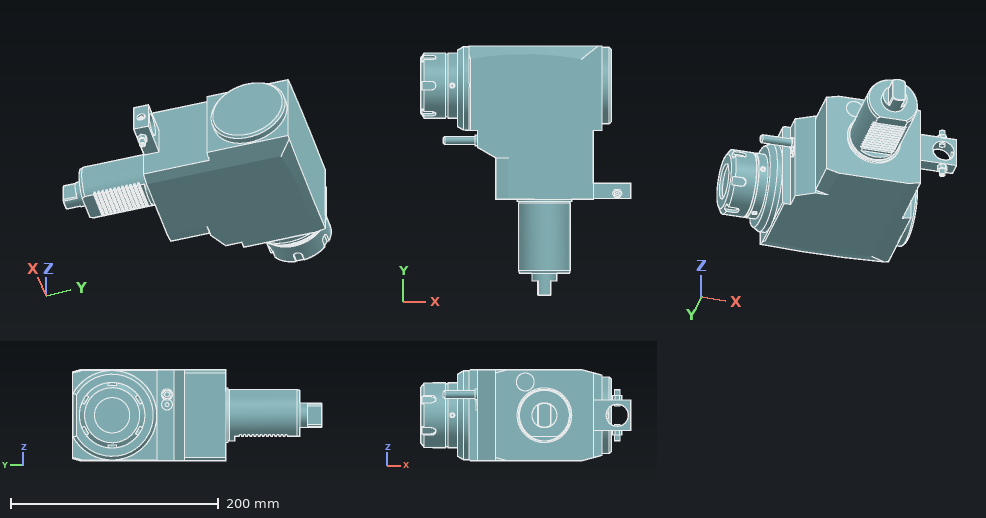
import cadquery as cq
import math


HALF_HEIGHT = 44.0
BODY_BACK = 147.5
UPPER_LEFT = -72.5
UPPER_RIGHT = 55.5
UPPER_BOTTOM = 66.0
MIDDLE_LEFT = -64.5
LOWER_LEFT = -47.0
LOWER_RIGHT = 47.0
SLOPE_TOP = 50.0
SLOPE_ANGLE = 30.0
BEVEL_ANGLE = 15.0
RIGHT_BEVEL_START = 35.5
LEFT_BEVEL_WIDTH = 12.3
BACK_BEVEL_WIDTH = 8.0
BACK_CREST_X = -18.0
BACK_CROWN_RADIUS = 1131.0
EDGE_BEVEL_X = 1.5
EDGE_BEVEL_Z = 1.2
PLUG_X = -18.4
PLUG_Z = 32.0
PLUG_RADIUS = 8.6
PLUG_RECESS = 0.2

SPINDLE_Y = 109.4
OVERLAP = 2.0
FLANGE_FACE = -83.8
FLANGE_RADIUS = 43.0
FLANGE_CHAMFER_X = 6.1
FLANGE_CHAMFER_R = 3.5
FLANGE_FLAT = BODY_BACK - 0.5
NOSE_FACE = -119.0
NUT_RADIUS = 31.5
NUT_END = -95.0
NUT_CHAMFER_X = 3.3
NUT_CHAMFER_R = 5.0
NUT_GROOVE_WIDTH = 2.3
NUT_GROOVE_DEPTH = 1.0
BORE_RADIUS = 17.0
BORE_DEPTH = 3.0
NUT_SLOT_COUNT = 6
NUT_SLOT_WIDTH = 8.3
NUT_SLOT_LENGTH = 14.5
NUT_SLOT_FLOOR = 28.4
COLLAR_HOLE_COUNT = 4
COLLAR_HOLE_X = -88.6
COLLAR_HOLE_RADIUS = 2.4
COLLAR_HOLE_DEPTH = 1.0
COLLAR_CORE_RADIUS = 1.5
COLLAR_CORE_DEPTH = 4.0
CAP_FACE = 64.5
CAP_RADIUS = 37.0
CAP_CHAMFER = 2.2

PIPE_Y = 56.6
PIPE_Z = 20.0
PIPE_END = -97.3
PIPE_RADIUS = 4.0
PIPE_CHAMFER = 1.6
PIPE_SEAT_RADIUS = 5.3
PIPE_SEAT_LENGTH = 2.2
SCREW_Z = 10.3
SCREW_HEAD_RADIUS = 5.2
SCREW_HEAD_HEIGHT = 1.3
SCREW_SOCKET_RADIUS = 1.8
SCREW_SOCKET_DEPTH = 1.0

SHANK_RADIUS = 25.0
SHANK_LENGTH = 71.3
SHANK_CHAMFER_Y = 3.0
SHANK_CHAMFER_R = 1.0
SHANK_COLLAR_RADIUS = 26.3
SHANK_COLLAR_LENGTH = 2.2
SHANK_GROOVE_END = -3.6
SHANK_GROOVE_DEPTH = 0.4
SHANK_FLAT_Z = -20.2
SHANK_FLAT_START = -8.7
RACK_GROOVES = 12
RACK_PITCH = 4.0
RACK_FIRST_Y = -14.0
RACK_DEPTH = 1.5
RACK_MOUTH = 2.5
RACK_ROOT = 1.0
TANG_RADIUS = 12.0
TANG_END = -92.5
TANG_SHOULDER = -78.6
TANG_THICKNESS = 13.0
TANG_CHAMFER = 0.6
TANG_EDGE_CHAMFER = 1.0

BRACKET_END = 83.1
BRACKET_HALF_HEIGHT = 14.8
BRACKET_FRONT = 0.7
BRACKET_BACK = 15.7
EYE_X = 70.0
EYE_RADIUS = 10.6
CROSS_HOLE_RADIUS = 4.0
BRACKET_SCREW_RADIUS = 2.9
BRACKET_SCREW_PROTRUSION = 1.8
STUD_Y = 5.7
STUD_RADIUS = 2.8
STUD_INNER = 8.7
STUD_OUTER = 24.7
STUD_SOCKET_FLATS = 2.5
STUD_SOCKET_DEPTH = 2.5
STUD_NUT_FLATS = 8.0
STUD_NUT_HEIGHT = 4.2
HEX_CORNERS_PER_FLATS = 1 / math.cos(math.pi / 6)


def x_cylinder(x_start, x_end, radius, y, z):
    plane = cq.Plane(origin=(x_start, y, z), xDir=(0, 1, 0), normal=(1, 0, 0))
    return cq.Workplane(plane).circle(radius).extrude(x_end - x_start)


def y_cylinder(y_start, y_end, radius, x=0.0, z=0.0):
    plane = cq.Plane(origin=(x, y_start, z), xDir=(1, 0, 0), normal=(0, 1, 0))
    return cq.Workplane(plane).circle(radius).extrude(y_end - y_start)


def box(x_range, y_range, z_range):
    size = [end - start for start, end in (x_range, y_range, z_range)]
    corner = (x_range[0], y_range[0], z_range[0])
    return cq.Workplane("XY").box(*size, centered=False).translate(corner)


def spindle_turned(profile):
    """Revolve (x, radius) points about the spindle axis."""
    return (
        cq.Workplane("XY", origin=(0, SPINDLE_Y, 0))
        .polyline(profile)
        .close()
        .revolve(360, (0, 0, 0), (1, 0, 0))
    )


def shank_turned(profile):
    """Revolve (radius, y) points about the shank axis."""
    return cq.Workplane("XY").polyline(profile).close().revolve(360, (0, 0, 0), (0, 1, 0))


def both_sides(upper):
    return upper.union(upper.mirror("XY"))


def xz_prism(points, y_start, y_end):
    return cq.Workplane("XZ", origin=(0, y_start, 0)).polyline(points).close().extrude(y_start - y_end)


def make_housing():
    slope_bottom = SLOPE_TOP - (LOWER_LEFT - MIDDLE_LEFT) * math.tan(math.radians(SLOPE_ANGLE))
    outline = [
        (LOWER_LEFT, 0),
        (LOWER_RIGHT, 0),
        (LOWER_RIGHT, UPPER_BOTTOM),
        (UPPER_RIGHT, UPPER_BOTTOM),
        (UPPER_RIGHT, BODY_BACK),
        (UPPER_LEFT, BODY_BACK),
        (UPPER_LEFT, UPPER_BOTTOM),
        (MIDDLE_LEFT, UPPER_BOTTOM),
        (MIDDLE_LEFT, SLOPE_TOP),
        (LOWER_LEFT, slope_bottom),
    ]
    housing = (
        cq.Workplane("XY", origin=(0, 0, -HALF_HEIGHT))
        .polyline(outline)
        .close()
        .extrude(2 * HALF_HEIGHT)
    )

    bevel_slope = math.tan(math.radians(BEVEL_ANGLE))
    right_drop = (UPPER_RIGHT - RIGHT_BEVEL_START) * bevel_slope
    right_bevel = xz_prism(
        [
            (RIGHT_BEVEL_START, HALF_HEIGHT),
            (UPPER_RIGHT, HALF_HEIGHT),
            (UPPER_RIGHT, HALF_HEIGHT - right_drop),
        ],
        0,
        BODY_BACK,
    )
    left_bevel = xz_prism(
        [
            (LOWER_LEFT, HALF_HEIGHT),
            (LOWER_LEFT + LEFT_BEVEL_WIDTH, HALF_HEIGHT),
            (LOWER_LEFT, HALF_HEIGHT - LEFT_BEVEL_WIDTH * bevel_slope),
        ],
        0,
        slope_bottom,
    )
    edge_bevel = xz_prism(
        [
            (UPPER_LEFT, HALF_HEIGHT),
            (UPPER_LEFT + EDGE_BEVEL_X, HALF_HEIGHT),
            (UPPER_LEFT, HALF_HEIGHT - EDGE_BEVEL_Z),
        ],
        UPPER_BOTTOM,
        BODY_BACK,
    )
    for bevel in (right_bevel, left_bevel, edge_bevel):
        housing = housing.cut(both_sides(bevel))
    housing = housing.intersect(both_sides(make_back_crown()))

    plug_recess = y_cylinder(0, PLUG_RECESS, PLUG_RADIUS, PLUG_X, PLUG_Z)
    return housing.cut(plug_recess)


def make_back_crown():
    """Upper half of a large cylinder whose crest dips toward the back at the bevel angle."""
    tilt = math.radians(BEVEL_ANGLE)
    crest = cq.Vector(BACK_CREST_X, BODY_BACK - BACK_BEVEL_WIDTH, HALF_HEIGHT)
    along = cq.Vector(0, math.cos(tilt), -math.sin(tilt))
    outward = cq.Vector(0, math.sin(tilt), math.cos(tilt))
    reach = 2 * BODY_BACK
    centre = crest - outward * BACK_CROWN_RADIUS - along * reach
    plane = cq.Plane(origin=centre.toTuple(), xDir=(1, 0, 0), normal=along.toTuple())
    crown = cq.Workplane(plane).circle(BACK_CROWN_RADIUS).extrude(2 * reach)
    upper_space = box((-reach, reach), (-reach, reach), (0, reach))
    return crown.intersect(upper_space)


def make_spindle_flange():
    back = UPPER_LEFT + OVERLAP
    shoulder = FLANGE_FACE + FLANGE_CHAMFER_X
    flange = spindle_turned(
        [
            (FLANGE_FACE, 0),
            (FLANGE_FACE, FLANGE_RADIUS - FLANGE_CHAMFER_R),
            (shoulder, FLANGE_RADIUS),
            (back, FLANGE_RADIUS),
            (back, 0),
        ]
    )
    beyond = SPINDLE_Y + FLANGE_RADIUS + OVERLAP
    flat_waste = (
        cq.Workplane("XY", origin=(0, 0, -HALF_HEIGHT))
        .polyline(
            [
                (FLANGE_FACE, FLANGE_FLAT - FLANGE_CHAMFER_R),
                (shoulder, FLANGE_FLAT),
                (back, FLANGE_FLAT),
                (back, beyond),
                (FLANGE_FACE, beyond),
            ]
        )
        .close()
        .extrude(2 * HALF_HEIGHT)
    )
    return flange.cut(flat_waste)


def make_collet_nut():
    collar_start = NUT_END + NUT_GROOVE_WIDTH
    root = NUT_RADIUS - NUT_GROOVE_DEPTH
    back = FLANGE_FACE + OVERLAP
    nut = spindle_turned(
        [
            (NOSE_FACE + BORE_DEPTH, 0),
            (NOSE_FACE + BORE_DEPTH, BORE_RADIUS),
            (NOSE_FACE, BORE_RADIUS),
            (NOSE_FACE, NUT_RADIUS - NUT_CHAMFER_R),
            (NOSE_FACE + NUT_CHAMFER_X, NUT_RADIUS),
            (NUT_END, NUT_RADIUS),
            (NUT_END, root),
            (collar_start, root),
            (collar_start, NUT_RADIUS),
            (back, NUT_RADIUS),
            (back, 0),
        ]
    )
    round_centre = NOSE_FACE + NUT_SLOT_LENGTH - NUT_SLOT_WIDTH / 2
    slot_top = cq.Workplane("XY", origin=(round_centre, SPINDLE_Y, NUT_SLOT_FLOOR))
    slot_height = NUT_RADIUS - NUT_SLOT_FLOOR + OVERLAP
    slot = slot_top.circle(NUT_SLOT_WIDTH / 2).extrude(slot_height)
    slot = slot.union(
        box(
            (NOSE_FACE, round_centre),
            (SPINDLE_Y - NUT_SLOT_WIDTH / 2, SPINDLE_Y + NUT_SLOT_WIDTH / 2),
            (NUT_SLOT_FLOOR, NUT_SLOT_FLOOR + slot_height),
        )
    )
    hole_top = cq.Workplane("XY", origin=(COLLAR_HOLE_X, SPINDLE_Y, NUT_RADIUS))
    collar_hole = hole_top.circle(COLLAR_CORE_RADIUS).extrude(-COLLAR_CORE_DEPTH)
    collar_hole = collar_hole.union(hole_top.circle(COLLAR_HOLE_RADIUS).extrude(-COLLAR_HOLE_DEPTH))
    for cutter, count in ((slot, NUT_SLOT_COUNT), (collar_hole, COLLAR_HOLE_COUNT)):
        for index in range(count):
            nut = nut.cut(cutter.rotate((0, SPINDLE_Y, 0), (1, SPINDLE_Y, 0), index * 360 / count))
    return nut


def make_rear_cap():
    front = UPPER_RIGHT - OVERLAP
    return spindle_turned(
        [
            (front, 0),
            (front, CAP_RADIUS),
            (CAP_FACE - CAP_CHAMFER, CAP_RADIUS),
            (CAP_FACE, CAP_RADIUS - CAP_CHAMFER),
            (CAP_FACE, 0),
        ]
    )


def make_coolant_pipe():
    inner = MIDDLE_LEFT + OVERLAP
    pipe = x_cylinder(PIPE_END, inner, PIPE_RADIUS, PIPE_Y, PIPE_Z).faces("<X").chamfer(PIPE_CHAMFER)
    seat = x_cylinder(MIDDLE_LEFT - PIPE_SEAT_LENGTH, inner, PIPE_SEAT_RADIUS, PIPE_Y, PIPE_Z)
    head_face = MIDDLE_LEFT - SCREW_HEAD_HEIGHT
    head = x_cylinder(head_face, inner, SCREW_HEAD_RADIUS, PIPE_Y, SCREW_Z)
    socket = x_cylinder(head_face, head_face + SCREW_SOCKET_DEPTH, SCREW_SOCKET_RADIUS, PIPE_Y, SCREW_Z)
    return head.cut(socket).union(seat).union(pipe)


def make_shank():
    groove_radius = SHANK_RADIUS - SHANK_GROOVE_DEPTH
    shank = shank_turned(
        [
            (0, OVERLAP),
            (groove_radius, OVERLAP),
            (groove_radius, SHANK_GROOVE_END),
            (SHANK_RADIUS, SHANK_GROOVE_END),
            (SHANK_RADIUS, SHANK_CHAMFER_Y - SHANK_LENGTH),
            (SHANK_RADIUS - SHANK_CHAMFER_R, -SHANK_LENGTH),
            (0, -SHANK_LENGTH),
        ]
    )
    across = (-SHANK_RADIUS, SHANK_RADIUS)
    shank = shank.cut(box(across, (-SHANK_LENGTH, SHANK_FLAT_START), (-SHANK_RADIUS, SHANK_FLAT_Z)))

    groove = (
        cq.Workplane("YZ", origin=(-SHANK_RADIUS, RACK_FIRST_Y, SHANK_FLAT_Z))
        .polyline(
            [
                (-RACK_MOUTH / 2, 0),
                (RACK_MOUTH / 2, 0),
                (RACK_ROOT / 2, RACK_DEPTH),
                (-RACK_ROOT / 2, RACK_DEPTH),
            ]
        )
        .close()
        .extrude(2 * SHANK_RADIUS)
    )
    for index in range(RACK_GROOVES):
        shank = shank.cut(groove.translate((0, -index * RACK_PITCH, 0)))
    return shank.union(y_cylinder(-SHANK_COLLAR_LENGTH, OVERLAP, SHANK_COLLAR_RADIUS))


def make_tang():
    tang = y_cylinder(TANG_END, OVERLAP - SHANK_LENGTH, TANG_RADIUS)
    blade = box(
        (-TANG_THICKNESS / 2, TANG_THICKNESS / 2),
        (TANG_END, TANG_SHOULDER),
        (-TANG_RADIUS, TANG_RADIUS),
    )
    blade = blade.intersect(tang).edges("|Y").chamfer(TANG_EDGE_CHAMFER)
    blade = blade.faces("<Y").chamfer(TANG_CHAMFER)
    stub = y_cylinder(TANG_SHOULDER, OVERLAP - SHANK_LENGTH, TANG_RADIUS)
    return stub.union(blade)


def make_bracket():
    eye_y = (BRACKET_FRONT + BRACKET_BACK) / 2
    inner = LOWER_RIGHT - OVERLAP
    bracket = box(
        (inner, BRACKET_END),
        (BRACKET_FRONT, BRACKET_BACK),
        (-BRACKET_HALF_HEIGHT, BRACKET_HALF_HEIGHT),
    )
    bracket = bracket.cut(y_cylinder(BRACKET_FRONT, BRACKET_BACK, EYE_RADIUS, EYE_X))
    bracket = bracket.cut(x_cylinder(EYE_X, BRACKET_END, CROSS_HOLE_RADIUS, eye_y, 0))
    screw_tip = EYE_X - EYE_RADIUS + BRACKET_SCREW_PROTRUSION
    bracket = bracket.union(x_cylinder(inner, screw_tip, BRACKET_SCREW_RADIUS, eye_y, 0))

    stud = (
        cq.Workplane("XY", origin=(EYE_X, STUD_Y, STUD_INNER))
        .circle(STUD_RADIUS)
        .extrude(STUD_OUTER - STUD_INNER)
    )
    stud_socket = (
        cq.Workplane("XY", origin=(EYE_X, STUD_Y, STUD_OUTER))
        .polygon(6, STUD_SOCKET_FLATS * HEX_CORNERS_PER_FLATS)
        .extrude(-STUD_SOCKET_DEPTH)
    )
    stud_nut = (
        cq.Workplane("XY", origin=(EYE_X, STUD_Y, BRACKET_HALF_HEIGHT))
        .polygon(6, STUD_NUT_FLATS * HEX_CORNERS_PER_FLATS)
        .extrude(STUD_NUT_HEIGHT)
    )
    return bracket.union(both_sides(stud.cut(stud_socket).union(stud_nut)))


part = make_housing()
for piece in (
    make_spindle_flange(),
    make_collet_nut(),
    make_rear_cap(),
    make_coolant_pipe(),
    make_shank(),
    make_tang(),
    make_bracket(),
):
    part = part.union(piece)
result = part